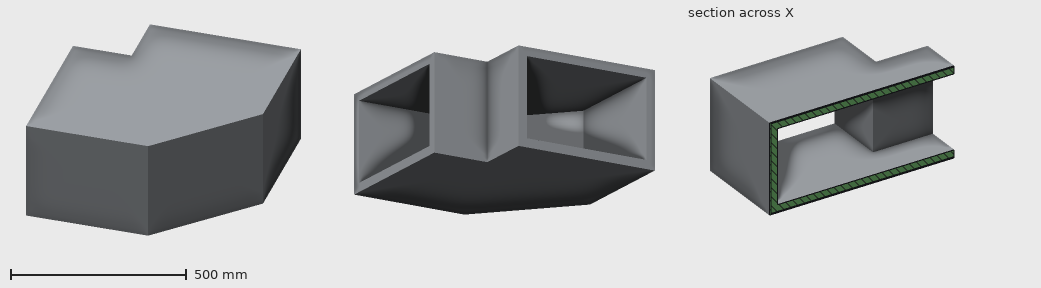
import cadquery as cq
import math

SIDE = 625.5
HEIGHT = 301.0
NOTCH = 175.0
MITRE = 261.5

CASING_THICKNESS = 5.3
WALL_THICKNESS = 27.5


def elbow(inset):
    """Solid elbow whose walls lie `inset` inside the outer faces; both duct ends stay flush."""
    low = inset
    high = SIDE - inset
    throat_x = NOTCH + inset
    throat_y = SIDE - NOTCH - inset
    mitre_shift = inset * (math.sqrt(2) - 1)
    mitre_x = SIDE - MITRE - mitre_shift
    mitre_y = MITRE + mitre_shift
    outline = [
        (0, low),
        (mitre_x, low),
        (high, mitre_y),
        (high, SIDE),
        (throat_x, SIDE),
        (throat_x, throat_y),
        (0, throat_y),
    ]
    return (
        cq.Workplane("XY", origin=(0, 0, inset))
        .polyline(outline)
        .close()
        .extrude(HEIGHT - 2 * inset)
    )


def elbow_layer(outer_inset, inner_inset):
    """Tubular elbow between two insets, open at both duct ends."""
    return elbow(outer_inset).cut(elbow(inner_inset))


casing = elbow_layer(0, CASING_THICKNESS)

lining = elbow_layer(CASING_THICKNESS, WALL_THICKNESS)

result = cq.Compound.makeCompound([casing.val(), lining.val()])